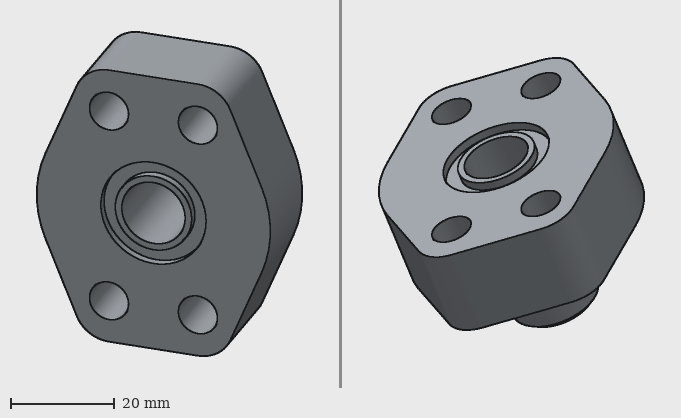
import cadquery as cq
import math

plate_height = 58.0
plate_thickness = 18.0
side_radius = 23.95
corner_radius = 7.2
bolt_x = 9.1
bolt_z = 20.25
bolt_hole_diameter = 8.0

total_depth = 36.0
tube_diameter = 17.5
bore_diameter = 13.0
tip_chamfer_length = 1.35
tip_chamfer_width = 1.5

groove_outer_diameter = 21.6
groove_inner_diameter = 15.65
groove_depth = 1.8

corner_x = bolt_x
corner_z = plate_height / 2 - corner_radius

flank_angle = math.atan2(corner_z, corner_x) - math.acos(
    (side_radius - corner_radius) / math.hypot(corner_x, corner_z)
)


def corner_point(angle):
    """Point on the upper right corner arc."""
    return (
        corner_x + corner_radius * math.cos(angle),
        corner_z + corner_radius * math.sin(angle),
    )


def mirrored(point, sign_x, sign_z):
    return (sign_x * point[0], sign_z * point[1])


def cylinder(diameter, start_y, end_y):
    """Cylinder on the Y axis between two stations."""
    return (
        cq.Workplane("XZ", origin=(0, start_y, 0))
        .circle(diameter / 2)
        .extrude(start_y - end_y)
    )


def make_plate():
    side_end = (side_radius * math.cos(flank_angle), side_radius * math.sin(flank_angle))
    corner_start = corner_point(flank_angle)
    corner_middle = corner_point((flank_angle + math.pi / 2) / 2)
    corner_end = corner_point(math.pi / 2)
    return (
        cq.Workplane("XZ")
        .moveTo(*mirrored(side_end, 1, -1))
        .threePointArc((side_radius, 0), side_end)
        .lineTo(*corner_start)
        .threePointArc(corner_middle, corner_end)
        .lineTo(*mirrored(corner_end, -1, 1))
        .threePointArc(mirrored(corner_middle, -1, 1), mirrored(corner_start, -1, 1))
        .lineTo(*mirrored(side_end, -1, 1))
        .threePointArc((-side_radius, 0), mirrored(side_end, -1, -1))
        .lineTo(*mirrored(corner_start, -1, -1))
        .threePointArc(mirrored(corner_middle, -1, -1), mirrored(corner_end, -1, -1))
        .lineTo(*mirrored(corner_end, 1, -1))
        .threePointArc(mirrored(corner_middle, 1, -1), mirrored(corner_start, 1, -1))
        .close()
        .extrude(-plate_thickness)
    )


def make_tube():
    tube_radius = tube_diameter / 2
    return (
        cq.Workplane("XY")
        .moveTo(0, 0)
        .lineTo(tube_radius, 0)
        .lineTo(tube_radius, total_depth - tip_chamfer_length)
        .lineTo(tube_radius - tip_chamfer_width, total_depth)
        .lineTo(0, total_depth)
        .close()
        .revolve(360, (0, 0, 0), (0, 1, 0))
    )


def make_bolt_holes():
    return (
        cq.Workplane("XZ")
        .rect(2 * bolt_x, 2 * bolt_z, forConstruction=True)
        .vertices()
        .circle(bolt_hole_diameter / 2)
        .extrude(-plate_thickness)
    )


def make_groove():
    outer = cylinder(groove_outer_diameter, 0, groove_depth)
    return outer.cut(cylinder(groove_inner_diameter, 0, groove_depth))


result = (
    make_plate()
    .union(make_tube())
    .cut(cylinder(bore_diameter, 0, total_depth))
    .cut(make_bolt_holes())
    .cut(make_groove())
)